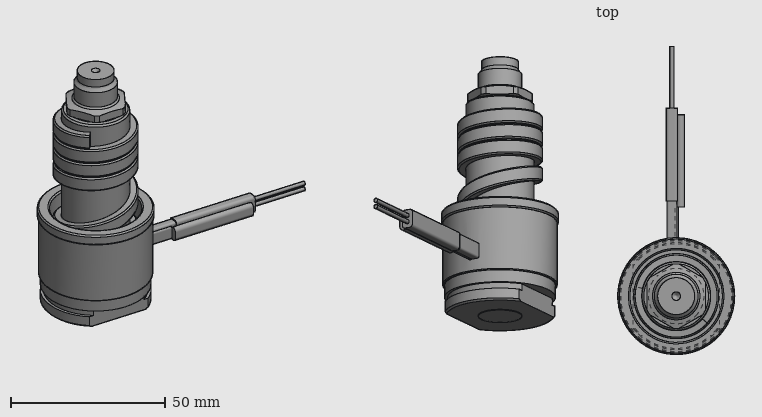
import cadquery as cq
import math

foot_radius = 7.1
foot_height = 0.3
base_radius = 18.0
base_chamfer = 0.6
groove_radius = 17.0
groove_bottom = 4.2
groove_top = 6.4
flat_distance = 14.0
can_radius = 18.6
can_bottom = 10.4
can_chamfer = 0.3
rim_radius = 19.0
rim_bottom = 32.0
rim_top = 35.1
rim_chamfer = 0.5

recess_radius = 15.0
recess_chamfer = 0.5

tube_radius = 11.1
tube_top = 71.9
tube_chamfer = 0.6
neck_radius = 9.0
hex_bottom = 72.3
hex_top = 75.9
hex_across_flats = 19.0
hex_corner_radius = 10.5
hex_top_bevel = 0.8
hex_bottom_bevel = 0.4
barrel_radius = 7.1
barrel_chamfer = 0.6
barrel_top = 81.9
shoulder_radius = 6.3
shoulder_height = 82.8
tip_radius = 6.0
tip_bottom = 83.4
tip_top = 86.2
dimple_radius = 1.4
dimple_depth = 1.3

lead_x = -1.4
lead_z = 17.2
lead_start = 17.0
cable_width = 3.2
cable_height = 5.3
cable_fillet = 0.7
sleeve_start = 30.8
sleeve_end = 61.0
sleeve_width = 3.8
sleeve_height = 6.1
sleeve_fillet = 1.0
strand_end = 81.0
strand_diameter = 1.4
strand_spacing = 2.1
splice_x = 1.4
splice_start = 28.9
splice_end = 58.9
splice_width = 2.7
splice_height = 4.8
splice_z = 16.7
side_wire_x = 0.1
side_wire_width = 1.4
side_wire_height = 4.6

spring_outer_radius = 13.8
spring_clearance = 0.1
wire_height = 4.9
wire_chamfer = 0.5
spring_top = 69.4
spring_end_angle = 319.0
closed_pitch = 5.28
open_pitch = 21.5
closed_angle = 1093.0
blend_angle = 140.0
open_angle = 206.0

spring_inner_radius = tube_radius + spring_clearance
blend_rise = (closed_pitch + open_pitch) / 2 * blend_angle / 360
closed_rise = closed_pitch * closed_angle / 360
open_rise = open_pitch * open_angle / 360
spring_total_angle = 2 * (closed_angle + blend_angle) + open_angle
spring_total_rise = 2 * (closed_rise + blend_rise) + open_rise
spring_bottom = spring_top - wire_height - spring_total_rise
recess_floor = spring_bottom


def revolve_profile(points):
    """Revolve a closed (radius, height) polygon around Z."""
    profile = cq.Workplane("XZ").polyline(points).close()
    return profile.revolve(360, (0, 0, 0), (0, 1, 0))


def make_base():
    base = revolve_profile([
        (0, 0),
        (foot_radius, 0),
        (foot_radius, foot_height),
        (base_radius - base_chamfer, foot_height),
        (base_radius, foot_height + base_chamfer),
        (base_radius, groove_bottom),
        (groove_radius, groove_bottom),
        (groove_radius, groove_top),
        (0, groove_top),
    ])
    flats = cq.Workplane("XY").box(
        2 * flat_distance, 2 * rim_radius, groove_top, centered=(True, True, False)
    )
    return base.intersect(flats)


def make_can():
    return revolve_profile([
        (0, groove_top),
        (base_radius, groove_top),
        (base_radius, can_bottom),
        (can_radius - can_chamfer, can_bottom),
        (can_radius, can_bottom + can_chamfer),
        (can_radius, rim_bottom - rim_chamfer),
        (rim_radius - rim_chamfer, rim_bottom - rim_chamfer),
        (rim_radius, rim_bottom),
        (rim_radius, rim_top - rim_chamfer),
        (rim_radius - rim_chamfer, rim_top),
        (recess_radius + recess_chamfer, rim_top),
        (recess_radius, rim_top - recess_chamfer),
        (recess_radius, recess_floor),
        (0, recess_floor),
    ])


def make_tube():
    return revolve_profile([
        (0, groove_top),
        (tube_radius, groove_top),
        (tube_radius, tube_top - tube_chamfer),
        (tube_radius - tube_chamfer, tube_top),
        (neck_radius, tube_top),
        (neck_radius, hex_bottom),
        (0, hex_bottom),
    ])


def make_hexagon():
    across_corners = hex_across_flats / math.cos(math.pi / 6)
    prism = (
        cq.Workplane("XY", origin=(0, 0, hex_bottom))
        .transformed(rotate=(0, 0, 30))
        .polygon(6, across_corners)
        .extrude(hex_top - hex_bottom)
    )
    turned = revolve_profile([
        (0, hex_bottom),
        (neck_radius, hex_bottom),
        (hex_corner_radius, hex_bottom + hex_bottom_bevel),
        (hex_corner_radius, hex_top - hex_top_bevel),
        (barrel_radius + barrel_chamfer, hex_top),
        (0, hex_top),
    ])
    return prism.intersect(turned)


def make_tip():
    return revolve_profile([
        (0, hex_top),
        (barrel_radius + barrel_chamfer, hex_top),
        (barrel_radius, hex_top + barrel_chamfer),
        (barrel_radius, barrel_top),
        (shoulder_radius, shoulder_height),
        (tip_radius, tip_bottom),
        (tip_radius, tip_top),
        (dimple_radius, tip_top),
        (0, tip_top - dimple_depth),
    ])


def lead_plane(x, y, z=lead_z):
    """Workplane across the lead: local x is -X, local y is +Z, normal is +Y."""
    return cq.Workplane(cq.Plane(origin=(x, y, z), xDir=(-1, 0, 0), normal=(0, 1, 0)))


def make_flat_lead(start, end, width, height, fillet):
    block = lead_plane(lead_x, start).rect(width, height).extrude(end - start)
    return block.edges("|Y").fillet(fillet)


def make_oval_lead(x, z, start, end, width, height):
    return lead_plane(x, start, z).slot2D(height, width, 90).extrude(end - start)


def make_strand(z):
    strand = lead_plane(lead_x, sleeve_end, z).circle(strand_diameter / 2)
    return strand.extrude(strand_end - sleeve_end)


def make_lead():
    lead = make_flat_lead(lead_start, sleeve_start, cable_width, cable_height, cable_fillet)
    lead = lead.union(
        make_flat_lead(sleeve_start, sleeve_end, sleeve_width, sleeve_height, sleeve_fillet)
    )
    lead = lead.union(
        make_oval_lead(splice_x, splice_z, splice_start, splice_end, splice_width, splice_height)
    )
    lead = lead.union(
        make_oval_lead(
            side_wire_x, splice_z, lead_start, splice_start, side_wire_width, side_wire_height
        )
    )
    for side in (-1, 1):
        lead = lead.union(make_strand(lead_z + side * strand_spacing / 2))
    return lead


def make_housing():
    housing = make_base()
    for section in (make_can(), make_tube(), make_hexagon(), make_tip(), make_lead()):
        housing = housing.union(section)
    return housing


def climb_from_end(angle):
    """Height climbed after turning the given angle from either end, up to mid-length."""
    if angle <= closed_angle:
        return closed_pitch * angle / 360
    past = min(angle - closed_angle, blend_angle)
    pitch_gain = (open_pitch - closed_pitch) * past / blend_angle
    climb = closed_rise + (closed_pitch + pitch_gain / 2) * past / 360
    return climb + open_pitch * max(angle - closed_angle - blend_angle, 0) / 360


def spring_climb(angle):
    if angle <= spring_total_angle / 2:
        return climb_from_end(angle)
    return spring_total_rise - climb_from_end(spring_total_angle - angle)


def spring_curve(radius, lift):
    """Helical edge at a given radius, lifted above the underside of the wire."""
    points_per_turn = 24
    point_count = round(spring_total_angle / 360 * points_per_turn)
    start_angle = spring_end_angle - spring_total_angle
    points = []
    fractions = []
    for i in range(point_count + 1):
        fraction = i / point_count
        angle = spring_total_angle * fraction
        direction = math.radians(start_angle + angle)
        points.append(cq.Vector(
            radius * math.cos(direction),
            radius * math.sin(direction),
            spring_bottom + lift + spring_climb(angle),
        ))
        fractions.append(fraction)
    return cq.Edge.makeSpline(points, parameters=fractions)


def make_end_face(corners):
    return cq.Face.makeFromWires(cq.Wire.makePolygon(corners, close=True))


def make_spring():
    section = [
        (spring_inner_radius, 0),
        (spring_outer_radius - wire_chamfer, 0),
        (spring_outer_radius, wire_chamfer),
        (spring_outer_radius, wire_height - wire_chamfer),
        (spring_outer_radius - wire_chamfer, wire_height),
        (spring_inner_radius, wire_height),
    ]
    curves = [spring_curve(radius, lift) for radius, lift in section]
    faces = []
    for curve, next_curve in zip(curves, curves[1:] + curves[:1]):
        faces.append(cq.Face.makeRuledSurface(curve, next_curve))
    faces.append(make_end_face([curve.startPoint() for curve in curves]))
    faces.append(make_end_face([curve.endPoint() for curve in curves]))
    return cq.Workplane(cq.Solid.makeSolid(cq.Shell.makeShell(faces)))


housing = make_housing()
spring = make_spring()

result = cq.Compound.makeCompound([housing.val(), spring.val()])